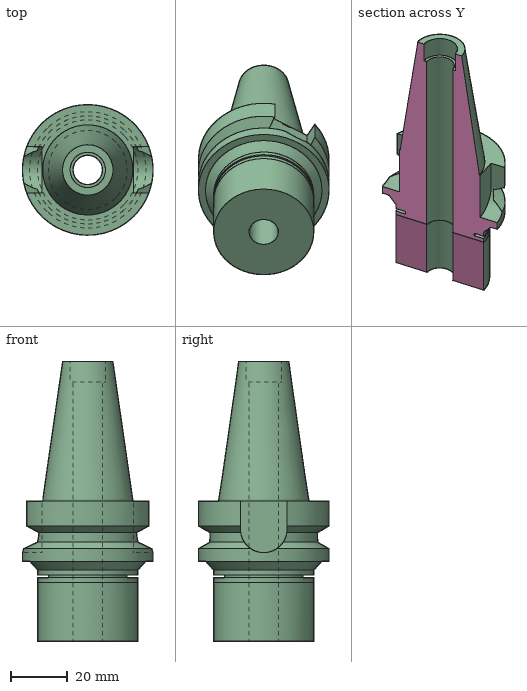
import cadquery as cq
import math

total_height = 98.4
nut_height = 20.7
relief_bottom = 22.4
relief_top = 23.3
collar_top = 25.1
flange_bottom = 28.1
lower_rim_top = 32.6
upper_rim_bottom = 40.5
flange_top = 49.3
taper_start = 50.0

flange_radius = 22.98
neck_radius = 19.0
cone_top_radius = 20.5
collar_radius = 17.6
relief_radius = 13.9
taper_large_radius = 15.8
taper_small_radius = 8.9

flank_angle = 30.0
flank_height = (flange_radius - neck_radius) * math.tan(math.radians(flank_angle))

bore_radius = 5.1
counterbore_radius = 6.2
counterbore_depth = 7.2

slot_width = 16.3
slot_floor_x = 16.1
slot_bottom = 31.2


def make_drive_slot(side):
    """Round-bottomed cutter on one side: -1 for -X, +1 for +X."""
    half_width = slot_width / 2
    arc_center_z = slot_bottom + half_width
    return (
        cq.Workplane("YZ", origin=(side * slot_floor_x, 0, 0))
        .moveTo(-half_width, flange_top)
        .lineTo(-half_width, arc_center_z)
        .threePointArc((0, slot_bottom), (half_width, arc_center_z))
        .lineTo(half_width, flange_top)
        .close()
        .extrude(side * flange_radius)
    )


def make_holder():
    """Taper shank, grooved flange and collar, turned as one piece."""
    counterbore_floor = total_height - counterbore_depth
    profile = [
        (bore_radius, nut_height),
        (collar_radius, nut_height),
        (collar_radius, relief_bottom),
        (relief_radius, relief_bottom),
        (relief_radius, relief_top),
        (collar_radius, relief_top),
        (collar_radius, collar_top),
        (cone_top_radius, flange_bottom),
        (flange_radius, flange_bottom),
        (flange_radius, lower_rim_top),
        (neck_radius, lower_rim_top + flank_height),
        (neck_radius, upper_rim_bottom - flank_height),
        (flange_radius, upper_rim_bottom),
        (flange_radius, flange_top),
        (taper_large_radius, flange_top),
        (taper_large_radius, taper_start),
        (taper_small_radius, total_height),
        (counterbore_radius, total_height),
        (counterbore_radius, counterbore_floor),
        (bore_radius, counterbore_floor),
    ]
    body = cq.Workplane("XZ").polyline(profile).close().revolve(360, (0, 0), (0, 1))
    for side in (-1, 1):
        body = body.cut(make_drive_slot(side))
    return body


def make_nut():
    """Plain cylindrical nut below the collar, with the bore running through."""
    return cq.Workplane("XY").circle(collar_radius).circle(bore_radius).extrude(nut_height)


holder = make_holder()
nut = make_nut()

result = cq.Compound.makeCompound([holder.val(), nut.val()])